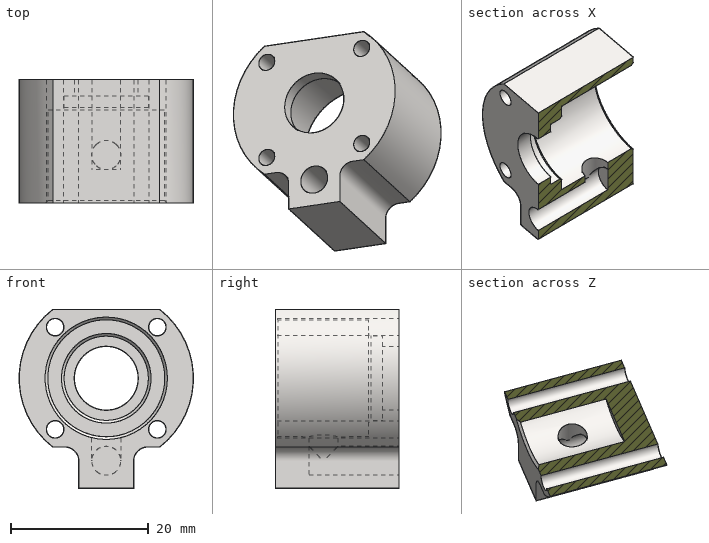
import cadquery as cq
import math

body_length = 18.0
barrel_radius = 12.675
total_height = 26
flat_height = 10.0

foot_width = 8.0
foot_bottom = flat_height - total_height
foot_fillet = 2.0
foot_overlap = 0.25

bearing_diameter = 17.0
bearing_depth = 13.52
step_diameter = 12.25
step_depth = 15.6
through_diameter = 9.25
bore_chamfer = 0.4

screw_diameter = 2.5
screw_circle_radius = 10.5
screw_count = 4
screw_start_angle = 45

entry_diameter = 4.2
riser_diameter = 4.25
riser_from_front = 7.0

front_y = -body_length / 2
rear_y = body_length / 2
cut_margin = 0.25


def make_barrel():
    """Round barrel trimmed to the two flats."""
    barrel = cq.Workplane("XZ", origin=(0, rear_y, 0)).circle(barrel_radius).extrude(body_length)
    trim = cq.Workplane("XY").box(2 * barrel_radius, body_length, 2 * flat_height)
    return barrel.intersect(trim)


def make_foot():
    """Straight foot whose top corners flare into the lower flat."""
    half_width = foot_width / 2
    flare_width = half_width + foot_fillet
    flare_start = -flat_height - foot_fillet
    diagonal = foot_fillet * (1 - math.sqrt(0.5))
    return (
        cq.Workplane("XZ", origin=(0, rear_y, 0))
        .moveTo(-half_width, foot_bottom)
        .lineTo(half_width, foot_bottom)
        .lineTo(half_width, flare_start)
        .threePointArc((half_width + diagonal, -flat_height - diagonal), (flare_width, -flat_height))
        .lineTo(flare_width, foot_overlap - flat_height)
        .lineTo(-flare_width, foot_overlap - flat_height)
        .lineTo(-flare_width, -flat_height)
        .threePointArc((-half_width - diagonal, -flat_height - diagonal), (-half_width, flare_start))
        .close()
        .extrude(body_length)
    )


def make_bore():
    """Stepped bore with a chamfer at the mouth of its two wider steps."""
    bearing_radius = bearing_diameter / 2
    step_radius = step_diameter / 2
    through_radius = through_diameter / 2
    bearing_floor = front_y + bearing_depth
    step_floor = front_y + step_depth
    profile = [
        (0, front_y),
        (bearing_radius + bore_chamfer, front_y),
        (bearing_radius, front_y + bore_chamfer),
        (bearing_radius, bearing_floor),
        (step_radius + bore_chamfer, bearing_floor),
        (step_radius, bearing_floor + bore_chamfer),
        (step_radius, step_floor),
        (through_radius, step_floor),
        (through_radius, rear_y + cut_margin),
        (0, rear_y + cut_margin),
    ]
    return cq.Workplane("XY").polyline(profile).close().revolve(360, (0, 0, 0), (0, 1, 0))


def make_screw_holes():
    return (
        cq.Workplane("XZ", origin=(0, rear_y, 0))
        .polarArray(screw_circle_radius, screw_start_angle, 360, screw_count)
        .circle(screw_diameter / 2)
        .extrude(body_length)
    )


def make_foot_passage():
    """Elbow passage: in through the rear of the foot, then up into the bore."""
    axis_z = foot_bottom + foot_width / 2
    riser_y = front_y + riser_from_front
    entry_length = body_length - riser_from_front + riser_diameter / 2
    entry = (
        cq.Workplane("XZ", origin=(0, rear_y, axis_z))
        .circle(entry_diameter / 2)
        .extrude(entry_length)
    )
    riser = cq.Workplane("XY", origin=(0, riser_y, axis_z)).circle(riser_diameter / 2).extrude(-axis_z)
    return entry.union(riser)


result = make_barrel().union(make_foot())
result = result.cut(make_bore()).cut(make_screw_holes()).cut(make_foot_passage())